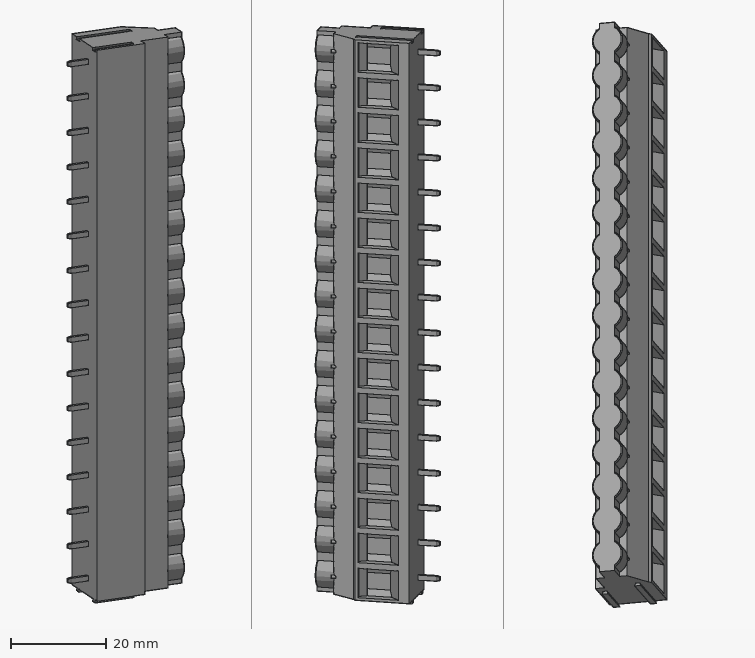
import cadquery as cq

pole_count = 16
total_height = 122.5
rib_height = 0.6
body_bottom = rib_height
body_height = total_height - rib_height
pitch = body_height / pole_count

body_width = 12.5
total_depth = 26.1
pin_length = 4.7
body_depth = total_depth - pin_length
shoulder_width = 0.6
shoulder_y = 12.3
shoulder_drop = 0.5
step_x = 10.5
step_y = 11.2
neck_y = 17.4
neck_left = 3.8
web_left = 5.4
web_right = 8.7

collar_radius = 3.3
collar_x = 7.0
collar_chamfer = 0.2
collar_embed = 1.2

bump_radius = 0.4
bump_length = 1.2
bump_rise = 0.5

pocket_height = 6.4
pocket_y_low = 2.3
pocket_y_high = 11.2
pocket_wall_depth = 1.1
pocket_slope_depth = 2.1
pocket_floor_depth = 2.6
floor_y_low = 4.8
floor_y_high = 9.7
floor_height = 3.5

pin_x = 7.8
pin_width = 0.7
pin_thickness = 1.1
pin_embed = 1.2
pin_taper_length = 0.6
pin_tip_scale = 0.7

interlocks = [(3.0, 12.3), (11.0, 9.0)]
rib_width = 1.3
groove_clearance = 0.1
groove_width = rib_width + 2 * groove_clearance
groove_depth = rib_height
dovetail_undercut = 0.2


def make_body():
    outline = [
        (0, 0),
        (body_width, 0),
        (body_width, step_y),
        (step_x, step_y),
        (step_x, neck_y),
        (web_right, neck_y),
        (web_right, body_depth),
        (web_left, body_depth),
        (web_left, neck_y),
        (neck_left, neck_y),
        (shoulder_width, shoulder_y),
        (0, shoulder_y - shoulder_drop),
    ]
    return (
        cq.Workplane("XY", origin=(0, 0, body_bottom))
        .polyline(outline)
        .close()
        .extrude(body_height)
    )


def make_collar(z):
    start = neck_y - collar_embed
    collar = (
        cq.Workplane("XZ", origin=(collar_x, start, z))
        .circle(collar_radius)
        .extrude(start - body_depth)
        .faces(">Y")
        .chamfer(collar_chamfer)
    )
    bump = (
        cq.Workplane("XZ", origin=(neck_left, neck_y + bump_rise, z))
        .circle(bump_radius)
        .extrude(bump_length)
    )
    return collar.union(bump)


def make_pocket(z):
    """Straight mouth with slanted sides that narrow to a flat floor."""
    bottom = z - pocket_height / 2
    top = z + pocket_height / 2
    sides_profile = [
        (0, pocket_y_low),
        (pocket_floor_depth, floor_y_low),
        (pocket_floor_depth, floor_y_high),
        (pocket_slope_depth, floor_y_high),
        (pocket_wall_depth, pocket_y_high),
        (0, pocket_y_high),
    ]
    ends_profile = [
        (0, bottom),
        (pocket_slope_depth, bottom),
        (pocket_floor_depth, z - floor_height / 2),
        (pocket_floor_depth, z + floor_height / 2),
        (pocket_slope_depth, top),
        (0, top),
    ]
    sides = (
        cq.Workplane("XY", origin=(0, 0, bottom))
        .polyline(sides_profile)
        .close()
        .extrude(pocket_height)
    )
    ends = cq.Workplane("XZ").polyline(ends_profile).close().extrude(-body_depth)
    return sides.intersect(ends)


def make_pin(z):
    straight = pin_length - pin_taper_length
    shank = (
        cq.Workplane("XZ", origin=(pin_x, pin_embed, z))
        .rect(pin_width, pin_thickness)
        .extrude(pin_embed + straight)
    )
    tip = (
        cq.Workplane("XZ", origin=(pin_x, -straight, z))
        .rect(pin_width, pin_thickness)
        .workplane(offset=pin_taper_length)
        .rect(pin_width * pin_tip_scale, pin_thickness * pin_tip_scale)
        .loft()
    )
    return shank.union(tip)


def make_dovetail(x, width, length, z_root, depth):
    """Strip below z_root that widens downwards from its root to its full width."""
    root_half = width / 2 - dovetail_undercut
    tip_half = width / 2
    profile = [
        (x - root_half, z_root),
        (x + root_half, z_root),
        (x + tip_half, z_root - depth),
        (x - tip_half, z_root - depth),
    ]
    return cq.Workplane("XZ").polyline(profile).close().extrude(-length)


result = make_body()
for pole in range(pole_count):
    pole_z = body_bottom + pitch * (pole + 0.5)
    result = result.union(make_collar(pole_z)).union(make_pin(pole_z)).cut(make_pocket(pole_z))
for interlock_x, interlock_length in interlocks:
    rib = make_dovetail(interlock_x, rib_width, interlock_length, body_bottom, rib_height)
    groove = make_dovetail(interlock_x, groove_width, interlock_length, total_height, groove_depth)
    result = result.union(rib).cut(groove)